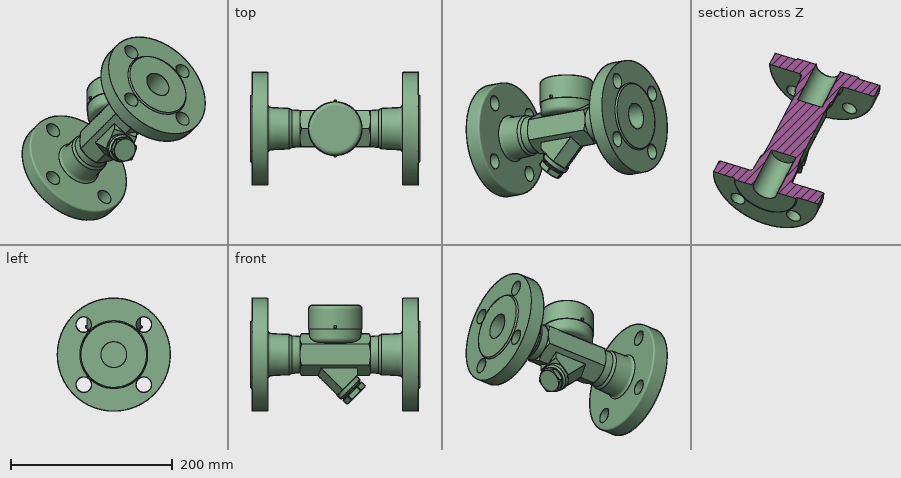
import cadquery as cq
import math


LENGTH = 210.0
FLANGE_DIA = 140.0
FLANGE_THICKNESS = 20.0
RIM_ROUNDING = 2.0
FACE_HEIGHT = 2.0
FACE_BASE_DIA = 84.0
FACE_TIP_DIA = 81.0
BORE_DIA = 32.0
BOLT_HOLE_DIA = 19.0
BOLT_CIRCLE_DIA = 105.0
BOLT_COUNT = 4

NECK_ROOT_DIA = 52.5
NECK_FLARE_DIA = 57.5
NECK_FLARE_LENGTH = 3.8
NECK_FLARE_RADIUS = 4.2
NECK_TAPER_DIA = 50.5
NECK_STEP_DIA = 46.5
NECK_RING_DIA = 46.0
NECK_END_DIA = 45.2
NECK_TAPER_X = 57.3
NECK_STEP_X = 53.5
NECK_RING_X = 48.5

BODY_LENGTH = 87.4
BODY_FLATS = 45.2
BODY_CHAMFER_ANGLE = 30.0

CAP_DIA = 66.5
CAP_TOP_Z = 61.3
CAP_TOP_ROUNDING = 5.7
CAP_SKIRT_Z = 31.5
SEAT_DIA = 65.0
SEAT_LOWER_DIA = 64.3
SEAT_ROUND_Z = 20.5
SEAT_ROUNDING = 5.7
SEAT_BOTTOM_Z = 13.9
SEAT_BOTTOM_DIA = 33.5
BUMP_RADIUS = 1.7
BUMP_Z = 34.2
BUMP_REACH = 35.3

LEG_AXIS_X = -24.2
LEG_WIDTH = 32.1
LEG_KEEL = 16.4
LEG_EDGE = 7.1
LEG_TOP = 27.3
LEG_START = 10.5
LEG_END = 54.5
LEG_SIDE_X = 27.7
COLLAR_DIA = 34.0
COLLAR_END = 60.3
PLUG_NECK_DIA = 29.0
PLUG_NECK_START = 62.5
PLUG_HEAD_START = 64.3
PLUG_HEAD_END = 71.5
PLUG_HEAD_FLATS = 28.5
PLUG_HEAD_DIA = 32.3
PLUG_CHAMFER_LENGTH = 0.8
PLUG_CHAMFER_DEPTH = 2.3


def hexagon_prism(workplane, flats, length):
    """Hexagonal prism with two flats square to the workplane's Y direction."""
    return workplane.polygon(6, flats / math.cos(math.pi / 6)).extrude(length)


def make_pipe_end():
    """Flange with raised face and stepped neck at the -X end, up to the body."""
    face_x = -LENGTH / 2 + FACE_HEIGHT
    back_x = face_x + FLANGE_THICKNESS
    flange = (
        cq.Workplane("YZ", origin=(face_x, 0, 0))
        .circle(FLANGE_DIA / 2)
        .extrude(FLANGE_THICKNESS)
        .edges(">X")
        .fillet(RIM_ROUNDING)
    )
    raised_face_and_neck = (
        cq.Workplane("XY")
        .moveTo(-LENGTH / 2, 0)
        .lineTo(-LENGTH / 2, FACE_TIP_DIA / 2)
        .lineTo(face_x, FACE_BASE_DIA / 2)
        .lineTo(back_x, NECK_FLARE_DIA / 2)
        .radiusArc((back_x + NECK_FLARE_LENGTH, NECK_ROOT_DIA / 2), -NECK_FLARE_RADIUS)
        .lineTo(-NECK_TAPER_X, NECK_TAPER_DIA / 2)
        .lineTo(-NECK_STEP_X, NECK_STEP_DIA / 2)
        .lineTo(-NECK_RING_X, NECK_RING_DIA / 2)
        .lineTo(-BODY_LENGTH / 2, NECK_END_DIA / 2)
        .lineTo(-BODY_LENGTH / 2, 0)
        .close()
        .revolve(360, (0, 0, 0), (1, 0, 0))
    )
    bolt_holes = (
        cq.Workplane("YZ", origin=(face_x, 0, 0))
        .polarArray(BOLT_CIRCLE_DIA / 2, 180 / BOLT_COUNT, 360, BOLT_COUNT)
        .circle(BOLT_HOLE_DIA / 2)
        .extrude(FLANGE_THICKNESS)
    )
    return flange.union(raised_face_and_neck).cut(bolt_holes)


def make_bore():
    """Blind bore from the -X end, ending level with the body's end face."""
    depth = (LENGTH - BODY_LENGTH) / 2
    return cq.Workplane("YZ", origin=(-LENGTH / 2, 0, 0)).circle(BORE_DIA / 2).extrude(depth)


def mirror_ends(pipe_end):
    """The -X feature together with its mirror image at the +X end."""
    return pipe_end.union(pipe_end.mirror("YZ"))


def make_body():
    """Hexagonal bar, flats facing +Y and -Y, with its corners turned off conically at both ends."""
    half_length = BODY_LENGTH / 2
    flat_radius = BODY_FLATS / 2
    cone_radius = flat_radius + half_length / math.tan(math.radians(BODY_CHAMFER_ANGLE))
    end_plane = cq.Plane((-half_length, 0, 0), (0, 0, 1), (1, 0, 0))
    bar = hexagon_prism(cq.Workplane(end_plane), BODY_FLATS, BODY_LENGTH)
    double_cone = (
        cq.Workplane("XY")
        .moveTo(-half_length, 0)
        .lineTo(-half_length, flat_radius)
        .lineTo(0, cone_radius)
        .lineTo(half_length, flat_radius)
        .lineTo(half_length, 0)
        .close()
        .revolve(360, (0, 0, 0), (1, 0, 0))
    )
    return bar.intersect(double_cone)


def make_cap():
    """Cap, the rounded seat rooted in the body under it, and a small round bump on each side."""
    cap = (
        cq.Workplane("XY", origin=(0, 0, CAP_SKIRT_Z))
        .circle(CAP_DIA / 2)
        .extrude(CAP_TOP_Z - CAP_SKIRT_Z)
        .edges(">Z")
        .fillet(CAP_TOP_ROUNDING)
    )
    round_center_r = SEAT_LOWER_DIA / 2 - SEAT_ROUNDING
    diagonal = SEAT_ROUNDING * math.sqrt(0.5)
    seat = (
        cq.Workplane("XZ")
        .moveTo(0, 0)
        .lineTo(SEAT_BOTTOM_DIA / 2, 0)
        .lineTo(SEAT_BOTTOM_DIA / 2, SEAT_BOTTOM_Z)
        .lineTo(round_center_r, SEAT_ROUND_Z - SEAT_ROUNDING)
        .threePointArc(
            (round_center_r + diagonal, SEAT_ROUND_Z - diagonal),
            (SEAT_LOWER_DIA / 2, SEAT_ROUND_Z),
        )
        .lineTo(SEAT_DIA / 2, CAP_SKIRT_Z)
        .lineTo(0, CAP_SKIRT_Z)
        .close()
        .revolve(360, (0, 0, 0), (0, 1, 0))
    )
    cap = cap.union(seat)
    for side in (-1, 1):
        bump_y = side * (BUMP_REACH - BUMP_RADIUS)
        cap = cap.union(cq.Workplane("XY").sphere(BUMP_RADIUS).translate((0, bump_y, BUMP_Z)))
    return cap


def leg_workplane(distance):
    """Plane square to the leg's axis; its X points to the leg's underside, its Y along +Y."""
    plane = cq.Plane((LEG_AXIS_X, 0, 0), (-1, 0, -1), (1, 0, -1))
    return cq.Workplane(plane).workplane(offset=distance)


def make_leg():
    """Sloping leg with flat sides and a keel-shaped underside, trimmed by an upright face."""
    half_width = LEG_WIDTH / 2
    leg = (
        leg_workplane(LEG_START)
        .moveTo(-LEG_TOP, -half_width)
        .lineTo(LEG_EDGE, -half_width)
        .lineTo(LEG_KEEL, 0)
        .lineTo(LEG_EDGE, half_width)
        .lineTo(-LEG_TOP, half_width)
        .close()
        .extrude(LEG_END - LEG_START)
    )
    region_center = (LEG_SIDE_X - LENGTH / 2, 0, -LENGTH / 2)
    region = cq.Workplane("XY").box(LENGTH, LENGTH, LENGTH).translate(region_center)
    return leg.intersect(region)


def make_plug():
    """Round collar tapering to a neck, then a hexagonal head with turned corners."""
    collar = leg_workplane(LEG_END).circle(COLLAR_DIA / 2).extrude(COLLAR_END - LEG_END)
    taper = (
        leg_workplane(COLLAR_END)
        .circle(COLLAR_DIA / 2)
        .workplane(offset=PLUG_NECK_START - COLLAR_END)
        .circle(PLUG_NECK_DIA / 2)
        .loft()
    )
    neck = leg_workplane(LEG_END).circle(PLUG_NECK_DIA / 2).extrude(PLUG_HEAD_START - LEG_END)
    head_length = PLUG_HEAD_END - PLUG_HEAD_START
    head_blank = (
        leg_workplane(PLUG_HEAD_START)
        .circle(PLUG_HEAD_DIA / 2)
        .extrude(head_length)
        .faces(cq.selectors.DirectionMinMaxSelector(cq.Vector(1, 0, -1)))
        .chamfer(PLUG_CHAMFER_LENGTH, PLUG_CHAMFER_DEPTH)
    )
    head = hexagon_prism(leg_workplane(PLUG_HEAD_START), PLUG_HEAD_FLATS, head_length).intersect(head_blank)
    return collar.union(taper).union(neck).union(head)


result = (
    make_body()
    .union(mirror_ends(make_pipe_end()))
    .union(make_leg())
    .union(make_plug())
    .union(make_cap())
    .cut(mirror_ends(make_bore()))
)